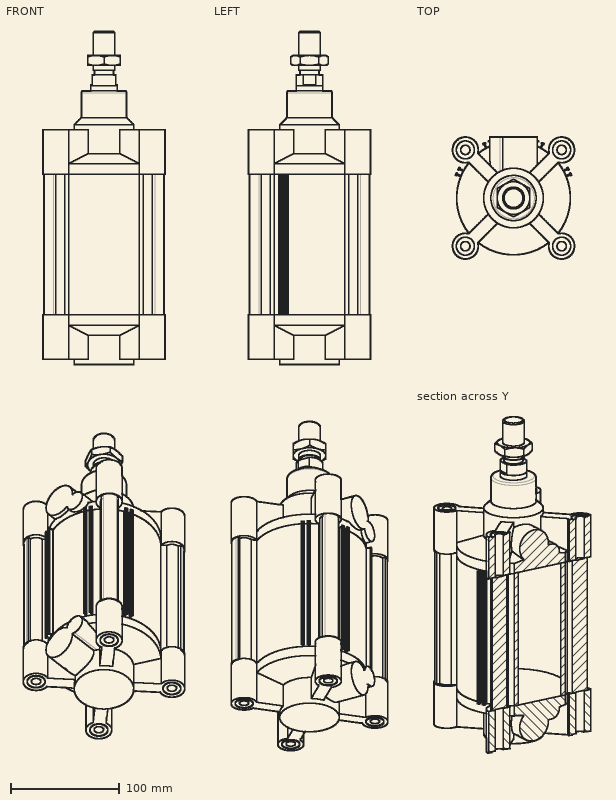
import cadquery as cq
import math

CORNER_ANGLES = (45, 135, 225, 315)

barrel_bottom = 46.2
barrel_length = 129.7
barrel_top = barrel_bottom + barrel_length
rod_top = 308.0

barrel_dia = 105.3
barrel_bore = 100.0

overall_width = 113.0
flange_height = 10.0
cap_cone_height = 9.2
lug_height = 41.3
lug_dia = 24.0
lug_hole_dia = 8.5
lug_recess_dia = 16.5
lug_recess_depth = 0.5
lug_offset = (overall_width - lug_dia) / 2
lug_radius_from_axis = lug_offset * math.sqrt(2)
rib_width = 12.0
neck_dia = 55.0
top_neck_height = 46.0
bottom_neck_height = barrel_bottom
boss_dia = 42.0
boss_end_height = 77.3
boss_edge_radius = 2.0
neck_chamfer = (neck_dia - boss_dia) / 2

port_dia = 32.0
port_x = 6.2
port_height = 22.8
screw_housing_dia = 19.0
screw_housing_x = -12.5
screw_housing_height = 11.7
port_root_y = 12.3
port_face_y = overall_width / 2

column_dia = 16.0
column_tip_dia = 22.8
column_tip_reach = 11.0

rail_corners = (45, 135)
rail_angle_from_corner = 19.5
lip_spacing = 5.5
lip_thickness = 1.0
lip_tip_radius = 57.5
lip_head_width = 2.5

rod_dia = 25.0
rod_end_dia = 24.5
rod_end_bottom = 257.8
flats_bottom = 258.7
flats_width = 22.0
shoulder_z = 268.0
thread_bottom = 272.0
undercut_dia = 18.0
thread_dia = 20.0
thread_chamfer = 1.2

nut_bottom = 276.5
nut_height = 9.2
nut_across_flats = 30.2
nut_corner_dia = nut_across_flats / math.cos(math.pi / 6)
nut_face_dia = nut_across_flats
nut_chamfer_angle = 30
nut_corner_angle = 30


def disc(diameter, height, base=0.0):
    """Upright cylinder on the axis."""
    return cq.Workplane("XY").workplane(offset=base).circle(diameter / 2).extrude(height)


def at_corners(shape):
    """Four copies of a shape built on the +X axis, turned onto the diagonals."""
    copies = [shape.rotate((0, 0, 0), (0, 0, 1), angle) for angle in CORNER_ANGLES]
    merged = copies[0]
    for copy in copies[1:]:
        merged = merged.union(copy)
    return merged


def port_cylinder(diameter, x, height):
    """Horizontal cylinder from inside the neck out to the +Y port face."""
    plane = cq.Plane(origin=(x, port_root_y, height), xDir=(1, 0, 0), normal=(0, 1, 0))
    return cq.Workplane(plane).circle(diameter / 2).extrude(port_face_y - port_root_y)


def cap_base(neck_height):
    """Features shared by both caps, with the barrel face at z = 0 and the outer end upward."""
    cone_top = flange_height + cap_cone_height
    core_outline = [
        (0, 0),
        (barrel_dia / 2, 0),
        (barrel_dia / 2, flange_height),
        (neck_dia / 2, cone_top),
        (neck_dia / 2, neck_height),
        (0, neck_height),
    ]
    core = cq.Workplane("XZ").polyline(core_outline).close().revolve(360, (0, 0, 0), (0, 1, 0))

    rib = cq.Workplane("XY").box(lug_radius_from_axis, rib_width, lug_height, centered=(False, True, False))
    lug = disc(lug_dia, lug_height).translate((lug_radius_from_axis, 0, 0))
    lug_hole = disc(lug_hole_dia, lug_height)
    lug_recess = disc(lug_recess_dia, lug_recess_depth, lug_height - lug_recess_depth)
    lug_cut = lug_hole.union(lug_recess).translate((lug_radius_from_axis, 0, 0))

    port = port_cylinder(port_dia, port_x, port_height)
    screw_housing = port_cylinder(screw_housing_dia, screw_housing_x, screw_housing_height)
    bridge_width = port_x - screw_housing_x
    bridge_length = port_face_y - port_root_y
    bridge = cq.Workplane("XY").box(bridge_width, bridge_length, screw_housing_dia / 2, centered=False)
    bridge = bridge.translate((screw_housing_x, port_root_y, screw_housing_height))
    cap = core.union(at_corners(rib.union(lug))).union(port).union(screw_housing).union(bridge)
    return cap.cut(at_corners(lug_cut))


def make_top_cap():
    """Rod-side cap with a rounded boss and a bore that the rod runs in."""
    cap = cap_base(top_neck_height)
    boss = disc(boss_dia, boss_end_height).faces(">Z").edges().fillet(boss_edge_radius)
    shoulder = (
        cq.Workplane("XY")
        .workplane(offset=top_neck_height)
        .circle(neck_dia / 2)
        .workplane(offset=neck_chamfer)
        .circle(boss_dia / 2)
        .loft()
    )
    cap = cap.union(shoulder).union(boss).cut(disc(rod_dia, boss_end_height))
    return cap.translate((0, 0, barrel_top))


def make_bottom_cap():
    """Plain closed cap, a mirror image of the rod-side one below the barrel."""
    return cap_base(bottom_neck_height).mirror("XY").translate((0, 0, barrel_bottom))


def barrel_column():
    """Corner column on the +X axis: a webbed round rod with a larger quarter disc on its outer side."""
    rod = disc(column_dia, barrel_length)
    quarter = cq.Workplane("XY").box(column_tip_reach, column_tip_reach, barrel_length, centered=False)
    tip = quarter.intersect(disc(column_tip_dia, barrel_length)).rotate((0, 0, 0), (0, 0, 1), -45)
    column = rod.union(tip).translate((lug_radius_from_axis, 0, 0))
    web = cq.Workplane("XY").box(lug_radius_from_axis, rib_width, barrel_length, centered=(False, True, False))
    return column.union(web)


def sensor_rail():
    """Pair of T-shaped lips along the barrel, on the +X axis."""
    root_radius = (barrel_bore + barrel_dia) / 4
    stem_length = lip_tip_radius - root_radius
    head_x = lip_tip_radius - lip_thickness
    stem = cq.Workplane("XY").box(stem_length, lip_thickness, barrel_length, centered=(False, True, False))
    head = cq.Workplane("XY").box(lip_thickness, lip_head_width, barrel_length, centered=(False, True, False))
    lip = stem.translate((root_radius, 0, 0)).union(head.translate((head_x, 0, 0)))
    left_lip = lip.translate((0, lip_spacing / 2, 0))
    right_lip = lip.translate((0, -lip_spacing / 2, 0))
    return left_lip.union(right_lip)


def make_barrel():
    """Barrel tube with four corner columns and four sensor rails."""
    barrel = disc(barrel_dia, barrel_length).union(at_corners(barrel_column()))
    rail = sensor_rail()
    for corner in rail_corners:
        for side in (-1, 1):
            angle = corner + side * rail_angle_from_corner
            barrel = barrel.union(rail.rotate((0, 0, 0), (0, 0, 1), angle))
    return barrel.cut(disc(barrel_bore, barrel_length)).translate((0, 0, barrel_bottom))


def make_rod():
    """Piston rod with wrench flats facing +X and -X on a slightly thinner end, an undercut and a threaded end."""
    shank = disc(rod_dia, rod_end_bottom - barrel_top, barrel_top)
    shank = shank.union(disc(rod_end_dia, shoulder_z - rod_end_bottom, rod_end_bottom))
    flats_height = shoulder_z - flats_bottom
    flats_zone = disc(rod_dia, flats_height, flats_bottom)
    flats_core = (
        cq.Workplane("XY")
        .workplane(offset=flats_bottom)
        .box(flats_width, rod_dia, flats_height, centered=(True, True, False))
    )
    shank = shank.cut(flats_zone.cut(flats_core))
    undercut = disc(undercut_dia, thread_bottom - shoulder_z, shoulder_z)
    thread = disc(thread_dia, rod_top - thread_bottom, thread_bottom)
    thread = thread.faces(">Z").edges().chamfer(thread_chamfer)
    return shank.union(undercut).union(thread)


def make_nut():
    """Hexagon nut with corners toward +Y and -Y, chamfered on both faces."""
    bevel_height = (nut_corner_dia - nut_face_dia) / 2 * math.tan(math.radians(nut_chamfer_angle))
    envelope_outline = [
        (0, 0),
        (nut_face_dia / 2, 0),
        (nut_corner_dia / 2, bevel_height),
        (nut_corner_dia / 2, nut_height - bevel_height),
        (nut_face_dia / 2, nut_height),
        (0, nut_height),
    ]
    envelope = cq.Workplane("XZ").polyline(envelope_outline).close().revolve(360, (0, 0, 0), (0, 1, 0))
    hexagon = cq.Workplane("XY").polygon(6, nut_corner_dia).extrude(nut_height)
    hexagon = hexagon.rotate((0, 0, 0), (0, 0, 1), nut_corner_angle)
    nut = hexagon.intersect(envelope).cut(disc(thread_dia, nut_height))
    return nut.translate((0, 0, nut_bottom))


top_cap = make_top_cap()
bottom_cap = make_bottom_cap()
barrel = make_barrel()
rod = make_rod()
nut = make_nut()

bodies = (top_cap, bottom_cap, barrel, rod, nut)
result = cq.Compound.makeCompound([body.solids().val() for body in bodies])